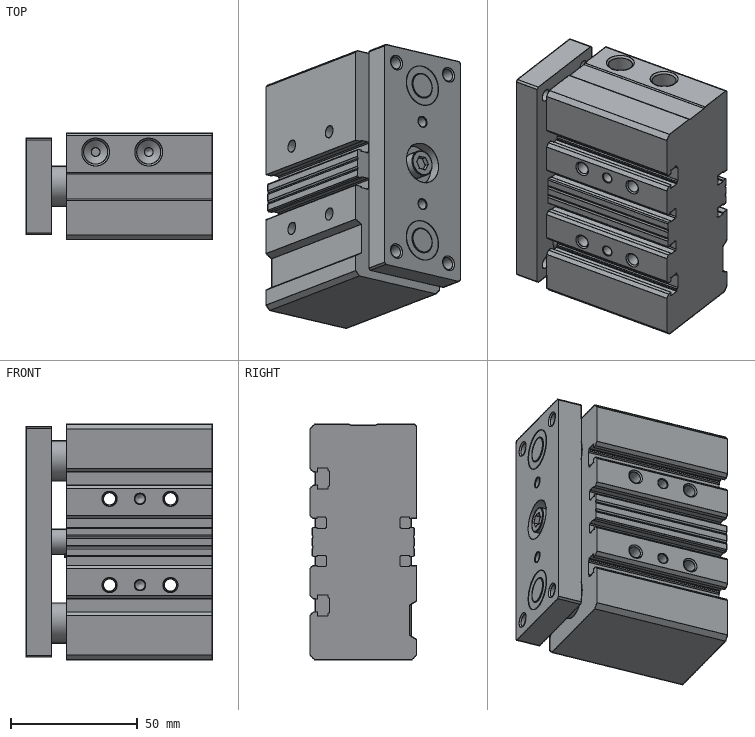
import cadquery as cq
import math

PLATE_THICK = 10.0
GAP = 5.9
HOUSING_LENGTH = 57.6
HOUSING_FRONT = PLATE_THICK + GAP

HOUSING_HEIGHT = 93.0
HOUSING_WIDTH = 42.0
HALF_HEIGHT = HOUSING_HEIGHT / 2
HALF_WIDTH = HOUSING_WIDTH / 2
LARGE_CORNER = 1.9
SMALL_CORNER = 0.8
TOP_RECESS_HALF_WIDTH = 5.6
TOP_RECESS_DEPTH = 0.4
TOP_RECESS_SLOPE_WIDTH = 0.65

LARGE_SLOT_Z = 25.0
LARGE_SLOT_NECK = 5.2
LARGE_SLOT_HEAD = 8.4
LARGE_SLOT_LIP = 3.0
LARGE_SLOT_DEPTH = 7.2
LARGE_SLOT_CORNER = 0.3
LARGE_SLOT_CHAMFER = 1.3
FLOOR_RELIEF_HEIGHT = 6.5
FLOOR_RELIEF_DEPTH = 0.5

SMALL_SLOT_Z = 7.5
SMALL_SLOT_NECK = 3.5
SMALL_SLOT_HEAD = 4.5
SMALL_SLOT_LIP = 2.8
SMALL_SLOT_DEPTH = 6.5
SMALL_SLOT_CORNER = 0.5
SMALL_SLOT_CHAMFER = 1.1

RIB_SETBACK = 0.8
RIB_CHAMFER = 0.5
RIB_HALF_HEIGHT = SMALL_SLOT_Z - SMALL_SLOT_NECK / 2
V_GROOVE_Z = 2.0
V_GROOVE_WIDTH = 1.5
V_GROOVE_DEPTH = 0.4

SIDE_GROOVE_Z = -30.9
SIDE_GROOVE_MOUTH = 15.1
SIDE_GROOVE_DEPTH = 2.8
SIDE_GROOVE_WALL_ANGLE = 30.0

MOUNT_HOLE_Z = 17.0
MOUNT_MIDDLE_X = HOUSING_FRONT + 29.0
MOUNT_HOLE_SPACING = 24.0
MOUNT_HOLE_DIAMETER = 4.8
MOUNT_HOLE_MOUTH = 5.95
DOWEL_DIAMETER = 4.0
DOWEL_MOUTH = 4.5
DOWEL_DEPTH = 6.0
DRILL_TIP_ANGLE = 118.0

FRONT_PORT_X = HOUSING_FRONT + 11.5
REAR_PORT_X = HOUSING_FRONT + 32.5
PORT_Y = 13.6
PORT_DIAMETER = 9.5
PORT_MOUTH = 11.0
PORT_DEPTH = 9.3
PORT_DRILL_DIAMETER = 3.4
PORT_DRILL_DEPTH = 16.7

LUG_LENGTH = 0.7
LUG_DIAMETER = 3.7
LUG_BOTTOM_Z = -6.0

PLATE_HEIGHT = 91.0
PLATE_WIDTH = 38.0
PLATE_CHAMFER = 0.7
PLATE_HOLE_Y = 13.0
PLATE_HOLE_Z = 39.0
RECESS_DIAMETER = 16.0
CENTRE_RECESS_DEPTH = 5.0
GUIDE_RECESS_DEPTH = 0.2

GUIDE_Z = 32.0
GUIDE_DIAMETER = 16.0
ROD_DIAMETER = 10.0
ROD_END_CHAMFER = 0.3
ROD_INSERTION = 46.5
HEX_SIDES = 6
HEX_ACROSS_FLATS = 5.0
HEX_DEPTH = 2.0


def cylinder(diameter, start, length, direction):
    """Solid cylinder from a start point along a direction."""
    solid = cq.Solid.makeCylinder(diameter / 2, length, cq.Vector(*start), cq.Vector(*direction))
    return cq.Workplane(obj=solid)


def mouth_cone(mouth, diameter, start, direction):
    """45-degree countersink from the mouth down to the hole diameter."""
    depth = (mouth - diameter) / 2
    cone = cq.Solid.makeCone(mouth / 2, diameter / 2, depth, cq.Vector(*start), cq.Vector(*direction))
    return cq.Workplane(obj=cone)


def pointed_hole(diameter, depth, start, direction):
    """Blind hole with a drill-point bottom below its full-diameter depth."""
    bottom = cq.Vector(*start) + cq.Vector(*direction) * depth
    tip_length = diameter / 2 / math.tan(math.radians(DRILL_TIP_ANGLE / 2))
    tip = cq.Solid.makeCone(diameter / 2, 0, tip_length, bottom, cq.Vector(*direction))
    return cylinder(diameter, start, depth, direction).union(cq.Workplane(obj=tip))


def countersunk_hole(diameter, mouth, depth, start, direction):
    """Drill-pointed blind hole with a countersunk mouth."""
    hole = pointed_hole(diameter, depth, start, direction)
    return hole.union(mouth_cone(mouth, diameter, start, direction))


def along_housing(points):
    """Prism with a (Y, Z) outline that runs the length of the housing."""
    return cq.Workplane("YZ", origin=(HOUSING_FRONT, 0, 0)).polyline(points).close().extrude(HOUSING_LENGTH)


def mirrored(points):
    """Closed outline from its upper half, mirrored about height zero."""
    return points + [(y, -z) for y, z in reversed(points)]


def placed(depth_outline, side, z):
    """Prism whose (depth from side face, height) outline sits on one side face (+1 or -1) at height z."""
    return along_housing([(side * (HALF_WIDTH - depth), z + height) for depth, height in depth_outline])


def t_slot_outline(neck, head, lip, depth, corner):
    return mirrored(
        [
            (0, neck / 2),
            (lip, neck / 2),
            (lip, head / 2),
            (depth - corner, head / 2),
            (depth, head / 2 - corner),
        ]
    )


def housing_blank():
    slope_end = TOP_RECESS_HALF_WIDTH - TOP_RECESS_SLOPE_WIDTH
    return along_housing(
        [
            (-HALF_WIDTH, LARGE_CORNER - HALF_HEIGHT),
            (-HALF_WIDTH, HALF_HEIGHT - LARGE_CORNER),
            (LARGE_CORNER - HALF_WIDTH, HALF_HEIGHT),
            (-TOP_RECESS_HALF_WIDTH, HALF_HEIGHT),
            (-slope_end, HALF_HEIGHT - TOP_RECESS_DEPTH),
            (slope_end, HALF_HEIGHT - TOP_RECESS_DEPTH),
            (TOP_RECESS_HALF_WIDTH, HALF_HEIGHT),
            (HALF_WIDTH - SMALL_CORNER, HALF_HEIGHT),
            (HALF_WIDTH, HALF_HEIGHT - SMALL_CORNER),
            (HALF_WIDTH, LARGE_CORNER - HALF_HEIGHT),
            (HALF_WIDTH - LARGE_CORNER, -HALF_HEIGHT),
            (LARGE_CORNER - HALF_WIDTH, -HALF_HEIGHT),
        ]
    )


def cut_large_slots(body):
    """T-slots with bevelled mouths and a shallow relief along their floors."""
    slot = t_slot_outline(
        LARGE_SLOT_NECK, LARGE_SLOT_HEAD, LARGE_SLOT_LIP, LARGE_SLOT_DEPTH, LARGE_SLOT_CORNER
    )
    half_neck = LARGE_SLOT_NECK / 2
    mouth = mirrored([(0, half_neck + LARGE_SLOT_CHAMFER), (LARGE_SLOT_CHAMFER, half_neck)])
    half_relief = FLOOR_RELIEF_HEIGHT / 2
    relief = mirrored(
        [
            (LARGE_SLOT_DEPTH, half_relief),
            (LARGE_SLOT_DEPTH + FLOOR_RELIEF_DEPTH, half_relief - FLOOR_RELIEF_DEPTH),
        ]
    )
    for z in (-LARGE_SLOT_Z, LARGE_SLOT_Z):
        for outline in (mouth, slot, relief):
            body = body.cut(placed(outline, -1, z))
    return body


def cut_rib_and_small_slots(body):
    slot = t_slot_outline(
        SMALL_SLOT_NECK, SMALL_SLOT_HEAD, SMALL_SLOT_LIP, SMALL_SLOT_DEPTH, SMALL_SLOT_CORNER
    )
    setback = mirrored(
        [
            (0, RIB_HALF_HEIGHT),
            (RIB_SETBACK + RIB_CHAMFER, RIB_HALF_HEIGHT),
            (RIB_SETBACK, RIB_HALF_HEIGHT - RIB_CHAMFER),
        ]
    )
    v_groove = [
        (RIB_SETBACK, V_GROOVE_WIDTH / 2),
        (RIB_SETBACK + V_GROOVE_DEPTH, 0),
        (RIB_SETBACK, -V_GROOVE_WIDTH / 2),
    ]
    for side in (-1, 1):
        body = body.cut(placed(setback, side, 0))
        for direction in (-1, 1):
            body = body.cut(placed(slot, side, direction * SMALL_SLOT_Z))
            body = body.cut(placed(v_groove, side, direction * V_GROOVE_Z))
    return body


def chamfer_small_slot_mouths(body):
    """Bevel the outer mouth edge of both small slots on the -Y side."""
    edge = SMALL_SLOT_Z + SMALL_SLOT_NECK / 2
    bevel = [(0, edge), (0, edge + SMALL_SLOT_CHAMFER), (SMALL_SLOT_CHAMFER, edge)]
    lower_bevel = [(depth, -height) for depth, height in bevel]
    return body.cut(placed(bevel, -1, 0)).cut(placed(lower_bevel, -1, 0))


def cut_side_groove(body):
    half_mouth = SIDE_GROOVE_MOUTH / 2
    half_floor = half_mouth - SIDE_GROOVE_DEPTH * math.tan(math.radians(SIDE_GROOVE_WALL_ANGLE))
    groove = mirrored([(0, half_mouth), (SIDE_GROOVE_DEPTH, half_floor)])
    return body.cut(placed(groove, 1, SIDE_GROOVE_Z))


def cut_mounting_holes(body):
    inward = (0, 1, 0)
    for z in (-MOUNT_HOLE_Z, MOUNT_HOLE_Z):
        for side in (-1, 1):
            start = (MOUNT_MIDDLE_X + side * MOUNT_HOLE_SPACING / 2, -HALF_WIDTH, z)
            body = body.cut(cylinder(MOUNT_HOLE_DIAMETER, start, HOUSING_WIDTH, inward))
            body = body.cut(mouth_cone(MOUNT_HOLE_MOUTH, MOUNT_HOLE_DIAMETER, start, inward))
        dowel_start = (MOUNT_MIDDLE_X, -HALF_WIDTH, z)
        body = body.cut(countersunk_hole(DOWEL_DIAMETER, DOWEL_MOUTH, DOWEL_DEPTH, dowel_start, inward))
    return body


def cut_ports(body):
    """Two stepped ports; the front passage ends flat, the rear one in a drill point."""
    down = (0, 0, -1)
    front_start = (FRONT_PORT_X, PORT_Y, HALF_HEIGHT)
    rear_start = (REAR_PORT_X, PORT_Y, HALF_HEIGHT)
    for start in (front_start, rear_start):
        body = body.cut(countersunk_hole(PORT_DIAMETER, PORT_MOUTH, PORT_DEPTH, start, down))
    body = body.cut(cylinder(PORT_DRILL_DIAMETER, front_start, PORT_DRILL_DEPTH, down))
    return body.cut(pointed_hole(PORT_DRILL_DIAMETER, PORT_DRILL_DEPTH, rear_start, down))


def add_lug(body):
    """Crescent below the piston rod: an eccentric disc, later cleared by the rod bore."""
    centre = (HOUSING_FRONT - LUG_LENGTH, 0, LUG_BOTTOM_Z + LUG_DIAMETER / 2)
    return body.union(cylinder(LUG_DIAMETER, centre, LUG_LENGTH, (1, 0, 0)))


def cut_rod_bores(body):
    for z, diameter in ((-GUIDE_Z, GUIDE_DIAMETER), (0, ROD_DIAMETER), (GUIDE_Z, GUIDE_DIAMETER)):
        start = (HOUSING_FRONT - LUG_LENGTH, 0, z)
        body = body.cut(cylinder(diameter, start, LUG_LENGTH + ROD_INSERTION, (1, 0, 0)))
    return body


def make_housing():
    body = housing_blank()
    body = cut_large_slots(body)
    body = cut_rib_and_small_slots(body)
    body = chamfer_small_slot_mouths(body)
    body = cut_side_groove(body)
    body = cut_mounting_holes(body)
    body = cut_ports(body)
    body = add_lug(body)
    return cut_rod_bores(body)


def make_plate():
    inward = (1, 0, 0)
    plate = (
        cq.Workplane("XY")
        .box(PLATE_THICK, PLATE_WIDTH, PLATE_HEIGHT, centered=(False, True, True))
        .edges("|X")
        .chamfer(PLATE_CHAMFER)
    )
    for y in (-PLATE_HOLE_Y, PLATE_HOLE_Y):
        for z in (-PLATE_HOLE_Z, PLATE_HOLE_Z):
            plate = plate.cut(cylinder(MOUNT_HOLE_DIAMETER, (0, y, z), PLATE_THICK, inward))
            plate = plate.cut(mouth_cone(MOUNT_HOLE_MOUTH, MOUNT_HOLE_DIAMETER, (0, y, z), inward))
    for z in (-MOUNT_HOLE_Z, MOUNT_HOLE_Z):
        plate = plate.cut(countersunk_hole(DOWEL_DIAMETER, DOWEL_MOUTH, DOWEL_DEPTH, (0, 0, z), inward))
    rod_places = ((-GUIDE_Z, GUIDE_RECESS_DEPTH), (0, CENTRE_RECESS_DEPTH), (GUIDE_Z, GUIDE_RECESS_DEPTH))
    for z, recess_depth in rod_places:
        plate = plate.cut(cylinder(ROD_DIAMETER, (0, 0, z), PLATE_THICK, inward))
        plate = plate.cut(cylinder(RECESS_DIAMETER, (0, 0, z), recess_depth, inward))
    return plate


def rod_core(z):
    """Rod through the plate, its plate end chamfered, reaching into the housing."""
    length = HOUSING_FRONT + ROD_INSERTION
    return cylinder(ROD_DIAMETER, (0, 0, z), length, (1, 0, 0)).faces("<X").chamfer(ROD_END_CHAMFER)


def make_guide_rod(z):
    shank = cylinder(GUIDE_DIAMETER, (PLATE_THICK, 0, z), GAP + ROD_INSERTION, (1, 0, 0))
    return rod_core(z).union(shank)


def make_piston_rod():
    across_corners = HEX_ACROSS_FLATS / math.cos(math.pi / HEX_SIDES)
    socket = cq.Workplane("YZ").polygon(HEX_SIDES, across_corners).extrude(HEX_DEPTH)
    return rod_core(0).cut(socket)


housing = make_housing()
plate = make_plate()
piston_rod = make_piston_rod()
guide_rods = [make_guide_rod(z) for z in (-GUIDE_Z, GUIDE_Z)]

result = cq.Compound.makeCompound(
    [housing.val(), plate.val(), piston_rod.val(), *[rod.val() for rod in guide_rods]]
)